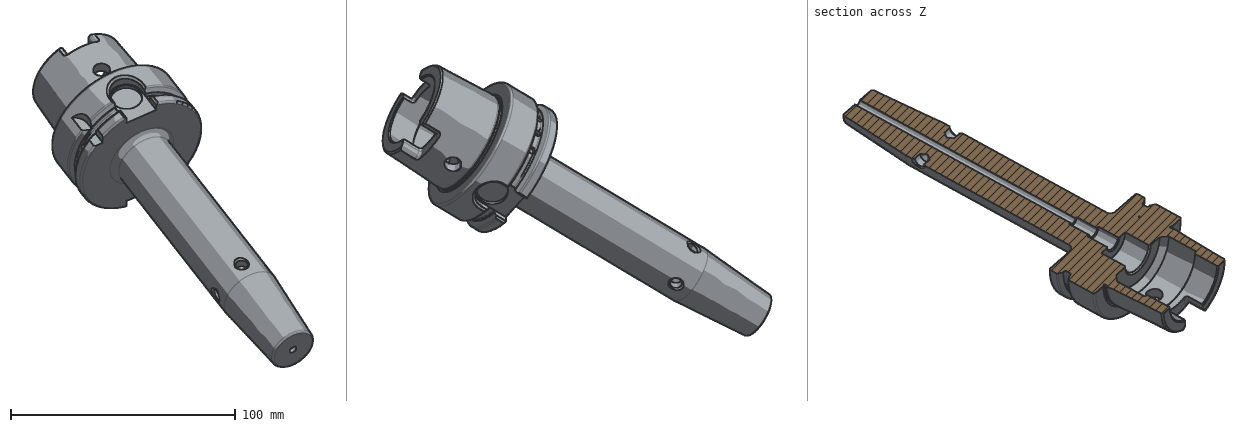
import cadquery as cq
import math

total_length = 192.0
shank_length = 32.0
flange_end = 58.0
taper_end = 30.0
nose_length = 38.0

flange_radius = 31.5
shank_mouth_radius = 22.7
shank_root_radius = 24.0
stem_radius = 13.54
tip_radius = 10.8

flange_rounding = 1.0
mouth_chamfer = 0.8
tip_rounding = 1.0
stem_fillet = 2.9

relief_start = 31.0
relief_run = 0.5
relief_depth = 0.4
relief_face_width = 1.0

groove_start = 46.8
groove_end = 53.2
groove_bottom_radius = 27.6
groove_side_radius = 29.0
groove_side_run = 1.5
groove_bottom_fillet = 0.5

bore_radius = 16.9
bore_chamfer = 0.5
undercut_start = 13.0
undercut_radius = 18.5
undercut_angle = 60.0
hollow_floor_x = 32.0
hollow_floor_radius = 15.5
thread_radius = 8.5
thread_chamfer = 0.8
thread_end = 46.0
feed_radius = 3.8
feed_chamfer = 0.5
feed_end = 57.6
step_radius = 2.7
step_end = 69.1
passage_radius = 1.7

cross_hole_x = 22.8
cross_hole_radius = 3.75
cross_hole_chamfer = 0.4

drive_slot_half_width = 6.3
drive_slot_depth_top = 6.0
drive_slot_depth_bottom = 9.8
drive_slot_rounding = 2.9
drive_slot_rounding_start = 17.9
drive_slot_floor_fillet = 1.3

key_slot_center_x = 44.7
key_slot_radius = 7.7
key_slot_floor = 26.3
key_slot_chamfer = 1.2
key_recess_radius = 7.0
key_recess_depth = 1.7

notch_offset = 20.0
notch_cutter_radius = 7.0

groove_hole_radius = 1.5
groove_hole_depth = 2.0
groove_hole_angles = (-35, -15, 5, 25)

balance_hole_x = 146.5
balance_hole_radius = 2.7
balance_hole_chamfer = 1.0
balance_hole_depth = 4.8
balance_hole_count = 4

drill_point_angle = 118.0
clearance = 9.6
opposite_sides = (0, 180)


def revolve_about_x(outline):
    return outline.close().revolve(360, (0, 0, 0), (1, 0, 0))


def turn(shape, angle):
    return shape.rotate((0, 0, 0), (1, 0, 0), angle)


def make_key_slot():
    """Slot on the +Z side, round at its -X end and open past the flange at +X."""
    run = flange_end + clearance
    return (
        cq.Workplane("XY", origin=(0, 0, key_slot_floor))
        .moveTo(run, -key_slot_radius)
        .lineTo(key_slot_center_x, -key_slot_radius)
        .threePointArc(
            (key_slot_center_x - key_slot_radius, 0),
            (key_slot_center_x, key_slot_radius),
        )
        .lineTo(run, key_slot_radius)
        .close()
        .extrude(flange_radius)
    )


def make_key_recess():
    """Round pocket sunk into the floor of the key slot on the +Z side."""
    return (
        cq.Workplane("XY", origin=(key_slot_center_x, 0, key_slot_floor - key_recess_depth))
        .circle(key_recess_radius)
        .extrude(flange_radius)
    )


def make_groove():
    side_start = groove_start + groove_side_run
    side_end = groove_end - groove_side_run
    groove = revolve_about_x(
        cq.Workplane("XZ")
        .moveTo(groove_start, flange_radius + clearance)
        .lineTo(groove_start, flange_radius)
        .lineTo(side_start, groove_side_radius)
        .lineTo(side_start, groove_bottom_radius)
        .lineTo(side_end, groove_bottom_radius)
        .lineTo(side_end, groove_side_radius)
        .lineTo(groove_end, flange_radius)
        .lineTo(groove_end, flange_radius + clearance)
    )
    bottom_corners = cq.selectors.RadiusNthSelector(0)
    return groove.edges("%CIRCLE").edges(bottom_corners).fillet(groove_bottom_fillet)


def make_flange():
    blank = (
        cq.Workplane("YZ", origin=(shank_length, 0, 0))
        .circle(flange_radius)
        .extrude(flange_end - shank_length)
    )
    for side in opposite_sides:
        blank = blank.cut(turn(make_key_slot(), side))

    edge_break = 0.5 * (key_slot_floor + flange_radius)
    for low, high in ((edge_break, flange_radius), (-flange_radius, -edge_break)):
        slot_edges = cq.selectors.BoxSelector(
            (shank_length + clearance / 10, -2 * key_slot_radius, low),
            (flange_end - clearance / 10, 2 * key_slot_radius, high),
        )
        blank = blank.edges(slot_edges).chamfer(key_slot_chamfer)

    flange = blank.cut(make_groove())
    rims = cq.selectors.RadiusNthSelector(-1)
    flange = flange.edges("%CIRCLE").edges(rims).fillet(flange_rounding)
    for side in opposite_sides:
        flange = flange.cut(turn(make_key_recess(), side))
    return flange.cut(make_notch())


def make_shank():
    return revolve_about_x(
        cq.Workplane("XZ")
        .lineTo(0, shank_mouth_radius - mouth_chamfer)
        .lineTo(mouth_chamfer, shank_mouth_radius)
        .lineTo(taper_end, shank_root_radius)
        .lineTo(flange_end, shank_root_radius)
        .lineTo(flange_end, 0)
    )


def make_relief():
    return revolve_about_x(
        cq.Workplane("XZ")
        .moveTo(relief_start, shank_root_radius)
        .lineTo(relief_start + relief_run, shank_root_radius - relief_depth)
        .lineTo(shank_length + relief_depth, shank_root_radius - relief_depth)
        .lineTo(shank_length + relief_depth, shank_root_radius)
        .lineTo(shank_length, shank_root_radius + relief_face_width)
        .lineTo(relief_start, shank_root_radius + relief_face_width)
    )


def make_stem():
    return revolve_about_x(
        cq.Workplane("XZ")
        .moveTo(flange_end, 0)
        .lineTo(flange_end, stem_radius + stem_fillet)
        .radiusArc((flange_end + stem_fillet, stem_radius), -stem_fillet)
        .lineTo(total_length - nose_length, stem_radius)
        .lineTo(total_length - tip_rounding, tip_radius)
        .radiusArc((total_length, tip_radius - tip_rounding), tip_rounding)
        .lineTo(total_length, 0)
    )


def make_hollow():
    undercut_run = (undercut_radius - bore_radius) / math.tan(math.radians(undercut_angle))
    floor_chamfer = undercut_radius - hollow_floor_radius
    return revolve_about_x(
        cq.Workplane("XZ")
        .lineTo(0, bore_radius + bore_chamfer)
        .lineTo(bore_chamfer, bore_radius)
        .lineTo(undercut_start, bore_radius)
        .lineTo(undercut_start + undercut_run, undercut_radius)
        .lineTo(hollow_floor_x - floor_chamfer, undercut_radius)
        .lineTo(hollow_floor_x, hollow_floor_radius)
        .lineTo(hollow_floor_x, thread_radius + thread_chamfer)
        .lineTo(hollow_floor_x + thread_chamfer, thread_radius)
        .lineTo(thread_end, thread_radius)
        .lineTo(thread_end, feed_radius + feed_chamfer)
        .lineTo(thread_end + feed_chamfer, feed_radius)
        .lineTo(feed_end, feed_radius)
        .lineTo(feed_end, step_radius)
        .lineTo(step_end, step_radius)
        .lineTo(step_end, passage_radius)
        .lineTo(total_length, passage_radius)
        .lineTo(total_length, 0)
    )


def make_drive_slot(depth):
    """Slot on the +Z side that widens through an arc on each wall towards the shank surface."""
    outer = drive_slot_half_width + drive_slot_rounding
    flare_end = drive_slot_rounding_start + drive_slot_rounding
    top = shank_mouth_radius + clearance
    return (
        cq.Workplane("YZ")
        .moveTo(-drive_slot_half_width, 0)
        .lineTo(drive_slot_half_width, 0)
        .lineTo(drive_slot_half_width, drive_slot_rounding_start)
        .radiusArc((outer, flare_end), drive_slot_rounding)
        .lineTo(outer, top)
        .lineTo(-outer, top)
        .lineTo(-outer, flare_end)
        .radiusArc((-drive_slot_half_width, drive_slot_rounding_start), drive_slot_rounding)
        .close()
        .extrude(depth)
        .faces(">X")
        .edges("not |Y")
        .fillet(drive_slot_floor_fillet)
    )


def make_notch():
    """Square-cornered cut along X whose -X end is rounded by the cutter."""
    run = flange_end + clearance
    far = notch_offset + 2 * notch_cutter_radius
    return (
        cq.Workplane("XY", origin=(0, 0, notch_offset))
        .moveTo(run, -notch_offset)
        .lineTo(key_slot_center_x, -notch_offset)
        .threePointArc(
            (key_slot_center_x - notch_cutter_radius, -notch_offset - notch_cutter_radius),
            (key_slot_center_x, -far),
        )
        .lineTo(run, -far)
        .close()
        .extrude(flange_radius)
    )


def make_drill(x, radius, chamfer, depth, surface_radius):
    """Hole from the +Z side towards the X axis, with a conical point and a countersunk mouth."""
    point = radius / math.tan(math.radians(drill_point_angle / 2))
    bottom = surface_radius - depth
    top = surface_radius + clearance / 10
    top_radius = radius
    outline = cq.Workplane("XZ", origin=(x, 0, 0)).moveTo(0, bottom - point).lineTo(radius, bottom)
    if chamfer > 0:
        outline = outline.lineTo(radius, surface_radius - chamfer)
        top_radius = radius + chamfer + clearance / 10
    return (
        outline.lineTo(top_radius, top)
        .lineTo(0, top)
        .close()
        .revolve(360, (0, 0, 0), (0, 1, 0))
    )


result = make_shank().cut(make_drive_slot(drive_slot_depth_top))
result = result.cut(turn(make_drive_slot(drive_slot_depth_bottom), 180))
result = result.union(make_flange()).union(make_stem())
result = result.cut(make_relief()).cut(make_hollow())

cross_hole = make_drill(
    cross_hole_x, cross_hole_radius, cross_hole_chamfer, shank_root_radius, shank_root_radius
)
for side in opposite_sides:
    result = result.cut(turn(cross_hole, side))

groove_center = (groove_start + groove_end) / 2
groove_drill = make_drill(
    groove_center, groove_hole_radius, 0, groove_hole_depth, groove_bottom_radius
)
for angle in groove_hole_angles:
    result = result.cut(turn(groove_drill, 90 - angle))

balance_drill = make_drill(
    balance_hole_x, balance_hole_radius, balance_hole_chamfer, balance_hole_depth, stem_radius
)
for index in range(balance_hole_count):
    result = result.cut(turn(balance_drill, index * 360 / balance_hole_count))